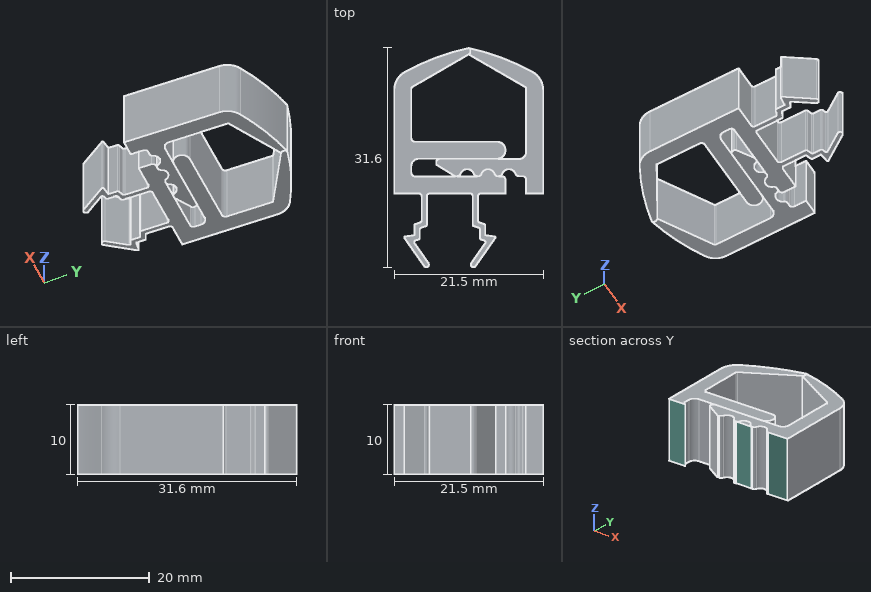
import cadquery as cq
import math

width = 21.5
length = 31.6
depth = 10.0
peak_height = 21.0
wall = 2.5

eave_height = 16.63
roof_radius = 33.5
shoulder_radius = 3.0
ceiling_angle = 30.0
tip_thickness = 0.95
tip_bulge = 0.25

gap_right = 5.3
latch_nose_x = -4.7
latch_nose_height = 0.82
latch_ramp_length = 2.72
notch_radius = 1.0
notch_pitch = 3.0
notch_centre = 2.78
notch_count = 3

edge_round = 0.25
notch_round = 0.5
inner_round = 0.5
large_round = 1.0

clip_centre = -2.72
leg_thickness = 0.8
leg_offset = 4.08
leg_step = 1.05
leg_step_drop = 0.35
leg_step_height = 0.57
leg_upper_length = 4.08
leg_lower_end = 5.97
barb_offset = 6.7
barb_drop = 0.22
heel_offset = 5.28
heel_drop = 0.25
foot_angle = 55.0
leg_length = length - peak_height
leg_round = 0.25
barb_round = 0.15
leg_root_round = 0.38

half_width = width / 2
inner_x = half_width - wall
floor_y = wall
slot_top = 2 * wall
finger_top = 3 * wall
ceiling_peak = peak_height - tip_thickness
ceiling_eave = ceiling_peak - inner_x * math.tan(math.radians(ceiling_angle))
tip_middle = (tip_bulge, peak_height - tip_thickness / 2)


def round_corners(body, corners, radius):
    """Fillet the full-depth edges standing on the given XY corners."""
    reach = 0.003
    for x, y in corners:
        box = cq.selectors.BoxSelector((x - reach, y - reach, -0.32), (x + reach, y + reach, depth + 0.32))
        body = body.edges("|Z").edges(box).fillet(radius)
    return body


def roof_middle(side):
    """Middle point of the roof arc on one side (-1 left, +1 right)."""
    rise = peak_height - eave_height
    chord = math.hypot(half_width, rise)
    sagitta = roof_radius - math.sqrt(roof_radius**2 - (chord / 2) ** 2)
    return (
        side * (half_width / 2 + sagitta * rise / chord),
        (peak_height + eave_height) / 2 + sagitta * half_width / chord,
    )


def notch_shape(x):
    """Half-round ridge on the floor plane, flaring out at its foot."""
    spread = math.sqrt((notch_radius + notch_round) ** 2 - notch_round**2)
    share = notch_radius / (notch_radius + notch_round)
    touch_x = spread * share
    touch_y = floor_y + notch_round * share
    bend = math.radians(45) + math.asin(notch_round / (notch_radius + notch_round)) / 2
    foot_x = spread - notch_round * math.cos(bend)
    foot_y = floor_y + notch_round * (1 - math.sin(bend))
    return (
        cq.Workplane("XY")
        .moveTo(x - spread, floor_y)
        .threePointArc((x - foot_x, foot_y), (x - touch_x, touch_y))
        .threePointArc((x, floor_y + notch_radius), (x + touch_x, touch_y))
        .threePointArc((x + foot_x, foot_y), (x + spread, floor_y))
        .close()
        .extrude(depth)
    )


def clip_leg(side):
    """One springy barbed leg below the base (side -1 left, +1 right)."""
    angle = math.radians(foot_angle)
    end_radius = leg_thickness / 2
    barb_y = -leg_lower_end - barb_drop
    step_offset = leg_offset + leg_step
    upper_inner = leg_offset - leg_thickness
    lower_inner = step_offset - leg_thickness

    centre_y = end_radius - leg_length
    slope_run = (barb_y - centre_y) / math.tan(angle)
    centre = barb_offset - slope_run - end_radius / math.sin(angle)
    shift_x = end_radius * math.sin(angle)
    shift_y = end_radius * math.cos(angle)
    end_x = end_radius * math.cos(angle)
    end_y = end_radius * math.sin(angle)

    heel_y = centre_y + shift_y + (heel_offset - centre + shift_x) * math.tan(angle)

    outer = [
        (leg_offset, 0),
        (leg_offset, -leg_upper_length),
        (step_offset, -leg_upper_length - leg_step_drop),
        (step_offset, -leg_lower_end),
        (barb_offset, barb_y),
    ]
    inner = [
        (heel_offset, heel_y),
        (lower_inner, heel_y + heel_drop),
        (lower_inner, -leg_upper_length - leg_step_drop - leg_step_height),
        (upper_inner, -leg_upper_length - leg_step_height),
        (upper_inner, 0),
    ]

    def place(point):
        return (clip_centre + side * point[0], point[1])

    leg = (
        cq.Workplane("XY")
        .polyline([place(p) for p in outer])
        .lineTo(*place((centre + shift_x, centre_y - shift_y)))
        .threePointArc(place((centre - end_x, centre_y - end_y)), place((centre - shift_x, centre_y + shift_y)))
        .lineTo(*place(inner[0]))
    )
    for point in inner[1:]:
        leg = leg.lineTo(*place(point))
    leg = leg.close().extrude(depth)
    bends = [place(p) for p in outer[1:3] + inner[:4]]
    leg = round_corners(leg, bends, leg_round)
    return round_corners(leg, [place(outer[-1])], barb_round)


def make_clip_half():
    """Left half: wall, roof with tongue, finger, floor bar with bump, and clip legs."""
    finger_radius = wall / 2
    body = (
        cq.Workplane("XY")
        .moveTo(-half_width, 0)
        .lineTo(-half_width, eave_height)
        .threePointArc(roof_middle(-1), (0, peak_height))
        .threePointArc(tip_middle, (0, ceiling_peak))
        .lineTo(-inner_x, ceiling_eave)
        .lineTo(-inner_x, finger_top)
        .lineTo(gap_right - finger_radius, finger_top)
        .threePointArc((gap_right, finger_top - finger_radius), (gap_right - finger_radius, slot_top))
        .lineTo(-inner_x, slot_top)
        .lineTo(-inner_x, floor_y)
        .lineTo(gap_right, floor_y)
        .lineTo(gap_right, 0)
        .close()
        .extrude(depth)
    )
    body = round_corners(body, [(-half_width, eave_height)], shoulder_radius)
    body = round_corners(body, [(-inner_x, slot_top)], large_round)
    body = round_corners(body, [(-inner_x, floor_y), (-inner_x, finger_top), (gap_right, floor_y)], inner_round)
    body = round_corners(body, [(-inner_x, ceiling_eave)], edge_round)
    body = body.union(notch_shape(notch_centre))
    for side in (-1, 1):
        body = body.union(clip_leg(side))
        roots = [(clip_centre + side * x, 0) for x in (leg_offset, leg_offset - leg_thickness)]
        body = round_corners(body, roots, leg_root_round)
    return body


def make_latch_half():
    """Right half: wall, roof with tongue recess, and the notched latch arm."""
    body = (
        cq.Workplane("XY")
        .moveTo(half_width, 0)
        .lineTo(half_width, eave_height)
        .threePointArc(roof_middle(1), (0, peak_height))
        .threePointArc(tip_middle, (0, ceiling_peak))
        .lineTo(inner_x, ceiling_eave)
        .lineTo(inner_x, slot_top)
        .lineTo(latch_nose_x, slot_top)
        .lineTo(latch_nose_x, slot_top - latch_nose_height)
        .lineTo(latch_nose_x + latch_ramp_length, floor_y)
        .lineTo(inner_x, floor_y)
        .lineTo(inner_x, 0)
        .close()
        .extrude(depth)
    )
    body = round_corners(body, [(half_width, eave_height)], shoulder_radius)
    body = round_corners(body, [(inner_x, slot_top)], large_round)
    body = round_corners(body, [(latch_nose_x, slot_top), (inner_x, floor_y)], inner_round)
    nose_corner = (latch_nose_x, slot_top - latch_nose_height)
    body = round_corners(body, [(inner_x, ceiling_eave), nose_corner], edge_round)
    for i in range(notch_count):
        offset = (i - (notch_count - 1) / 2) * notch_pitch
        body = body.cut(notch_shape(notch_centre + offset))
    return body


clip_half = make_clip_half()
latch_half = make_latch_half()
result = cq.Compound.makeCompound([clip_half.solids().val(), latch_half.solids().val()])